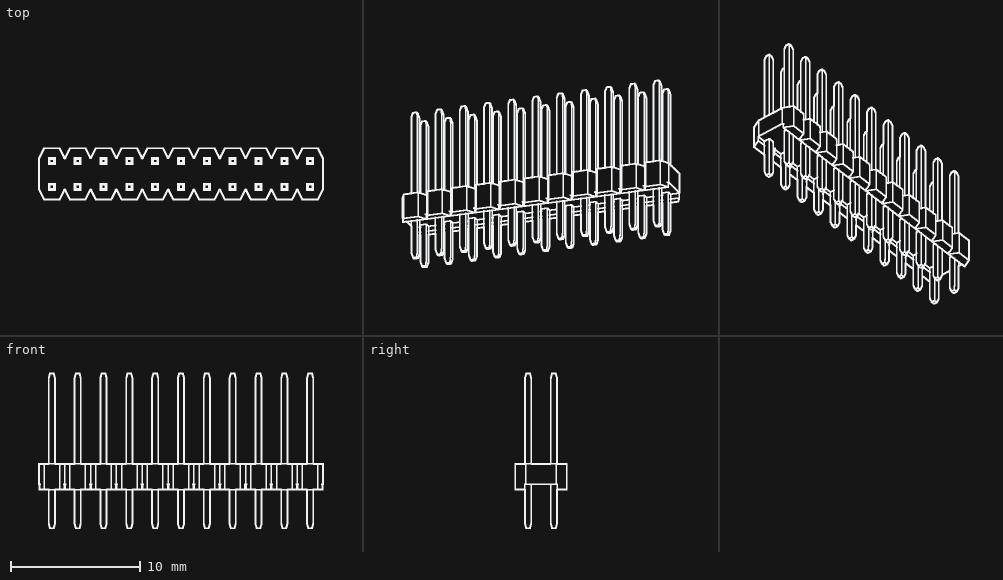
import cadquery as cq
import math

pitch = 2.0
columns = 11
rows = 2

body_length = columns * pitch
body_width = rows * pitch
body_height = 2.0
notch_half_width = 0.4
notch_depth = 0.8

pin_width = 0.5
pin_top = 9.0
pin_bottom = -3.0
tip_width = 0.3
tip_taper = math.radians(15)
tip_length = (pin_width - tip_width) / 2 / math.tan(tip_taper)

channel_width = (rows - 1) * pitch + pin_width
channel_height = 0.4


def make_notch(x, side):
    """Triangular prism that cuts a V into one long side of the body, centred at x."""
    edge_y = side * body_width / 2
    return (
        cq.Workplane("XY")
        .moveTo(x - notch_half_width, edge_y)
        .lineTo(x + notch_half_width, edge_y)
        .lineTo(x, edge_y - side * notch_depth)
        .close()
        .extrude(body_height)
    )


def make_body():
    """Bar with cut end corners, V-notches between columns and a channel underneath.

    The notch tips reach just past the channel walls, so the side rails are
    split into separate feet below the channel roof.
    """
    body = cq.Workplane("XY").box(
        body_length, body_width, body_height, centered=(True, True, False)
    )
    for boundary in range(columns + 1):
        notch_x = boundary * pitch - body_length / 2
        for side in (-1, 1):
            body = body.cut(make_notch(notch_x, side))
    channel = cq.Workplane("XY").box(
        body_length, channel_width, channel_height, centered=(True, True, False)
    )
    return body.cut(channel)


def make_tip(base_z, end_z):
    """Square frustum narrowing from the pin width at base_z to the tip at end_z."""
    return (
        cq.Workplane("XY")
        .workplane(offset=base_z)
        .rect(pin_width, pin_width)
        .workplane(offset=end_z - base_z)
        .rect(tip_width, tip_width)
        .loft(ruled=True)
    )


def make_pin():
    """One vertical pin on the Z axis, tapered at both ends."""
    shank_bottom = pin_bottom + tip_length
    shank_top = pin_top - tip_length
    shank = (
        cq.Workplane("XY")
        .workplane(offset=shank_bottom)
        .rect(pin_width, pin_width)
        .extrude(shank_top - shank_bottom)
    )
    upper_tip = make_tip(shank_top, pin_top)
    lower_tip = make_tip(shank_bottom, pin_bottom)
    return shank.union(upper_tip).union(lower_tip)


result = make_body()
pin = make_pin()
for column in range(columns):
    for row in range(rows):
        pin_x = (column - (columns - 1) / 2) * pitch
        pin_y = (row - (rows - 1) / 2) * pitch
        result = result.union(pin.translate((pin_x, pin_y, 0)))